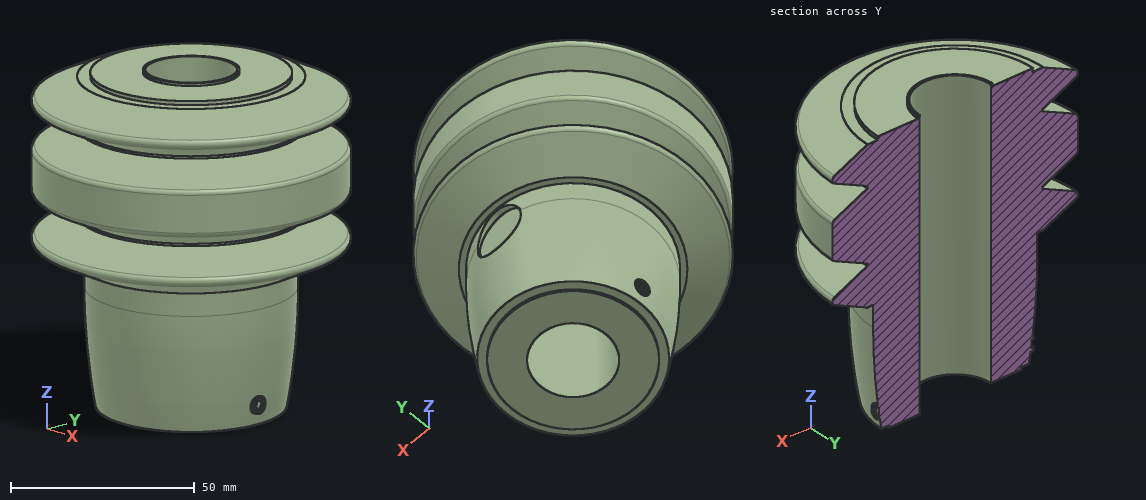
import cadquery as cq
import math

height = 95.95
collar_height = 0.8
disc_height = 1.15
foot_height = 0.8

shed_radius = 43.51
root_radius = 31.1
edge_round = 1.4
cone_angle = math.radians(25)
ribs_top = height - collar_height - disc_height
ribs_bottom = 41.6
groove_width = 0.7

round_center = shed_radius - edge_round
tangent_radius = round_center + edge_round * math.sin(cone_angle)
cone_rise = (tangent_radius - root_radius) * math.tan(cone_angle)
arc_rise = edge_round * math.cos(cone_angle)
middle_angle = (math.pi / 2 - cone_angle) / 2
middle_radius = round_center + edge_round * math.cos(middle_angle)
middle_rise = edge_round * math.sin(middle_angle)

shed_width = 2 * (cone_rise + arc_rise)
band_width = ribs_top - ribs_bottom - 2 * groove_width - 3 * shed_width

bore_diameter = 25.0
collar_diameter = 26.3
disc_diameter = 55.0
foot_diameter = 46.8

barrel_radius = 29.12
barrel_curve_start = 34.5
barrel_curve_radius = 191.9

screw_height = 6.8
screw_diameter = 5.1
screw_reach = 27.8
screw_root = 24.0
screw_chamfer = 0.4
socket_depth = 0.8
socket_core_radius = 1.2
lobe_radius = 0.4
lobe_offset = 1.3
lobe_count = 6

recess_diameter = 16.9
recess_height = 32.4
recess_floor = 27.1


def disc(diameter, bottom, top):
    """Upright cylinder on the Z axis between two heights."""
    return cq.Workplane("XY").workplane(offset=bottom).circle(diameter / 2).extrude(top - bottom)


def rib(bottom, band_width):
    """Double cone with a rounded rim; a wide rim is a straight band between two rounded edges."""
    lower_center = bottom + cone_rise + arc_rise
    upper_center = lower_center + band_width
    top = upper_center + arc_rise + cone_rise
    rim_start = (tangent_radius, bottom + cone_rise)
    rim_end = (tangent_radius, top - cone_rise)

    outline = cq.Workplane("XZ").moveTo(0, bottom).lineTo(root_radius, bottom).lineTo(*rim_start)
    if band_width > 0:
        outline = (
            outline.threePointArc((middle_radius, lower_center - middle_rise), (shed_radius, lower_center))
            .lineTo(shed_radius, upper_center)
            .threePointArc((middle_radius, upper_center + middle_rise), rim_end)
        )
    else:
        outline = outline.threePointArc((shed_radius, lower_center), rim_end)
    profile = outline.lineTo(root_radius, top).lineTo(0, top).close()
    return profile.revolve(360, (0, 0, 0), (0, 1, 0))


def barrel():
    """Neck below the ribs, tangent to a large arc that narrows it downwards."""
    def curve_point(z):
        drop = barrel_curve_start - z
        inset = barrel_curve_radius - math.sqrt(barrel_curve_radius**2 - drop**2)
        return (barrel_radius - inset, z)

    middle = curve_point((barrel_curve_start + foot_height) / 2)
    profile = (
        cq.Workplane("XZ")
        .moveTo(0, foot_height)
        .lineTo(*curve_point(foot_height))
        .threePointArc(middle, (barrel_radius, barrel_curve_start))
        .lineTo(barrel_radius, ribs_bottom)
        .lineTo(0, ribs_bottom)
        .close()
    )
    return profile.revolve(360, (0, 0, 0), (0, 1, 0))


def screw():
    """Chamfered screw head with a six-lobed socket, pointing along +X."""
    head = (
        cq.Workplane("YZ", origin=(screw_root, 0, screw_height))
        .circle(screw_diameter / 2)
        .extrude(screw_reach - screw_root)
        .faces(">X")
        .chamfer(screw_chamfer)
    )
    socket_plane = cq.Workplane("YZ", origin=(screw_reach - socket_depth, 0, screw_height))
    core = socket_plane.circle(socket_core_radius).extrude(socket_depth)
    lobes = (
        socket_plane.polarArray(lobe_offset, 0, 360, lobe_count)
        .circle(lobe_radius)
        .extrude(socket_depth)
    )
    return head, core.union(lobes)


lower_shed_top = ribs_bottom + shed_width
upper_shed_bottom = ribs_top - shed_width
body = disc(2 * root_radius, ribs_bottom, ribs_top)
body = body.union(rib(ribs_bottom, 0))
body = body.union(rib(lower_shed_top + groove_width, band_width))
body = body.union(rib(upper_shed_bottom, 0))

body = body.union(disc(disc_diameter, ribs_top, ribs_top + disc_height))
body = body.union(disc(collar_diameter, ribs_top, height))
body = body.union(barrel())
body = body.union(disc(foot_diameter, 0, foot_height))

recess = (
    cq.Workplane("XZ", origin=(0, shed_radius, recess_height))
    .circle(recess_diameter / 2)
    .extrude(shed_radius - recess_floor)
)
body = body.cut(recess)

head, socket = screw()
for angle in (0, 180):
    body = body.union(head.rotate((0, 0, 0), (0, 0, 1), angle))
    body = body.cut(socket.rotate((0, 0, 0), (0, 0, 1), angle))

result = body.cut(disc(bore_diameter, 0, height))